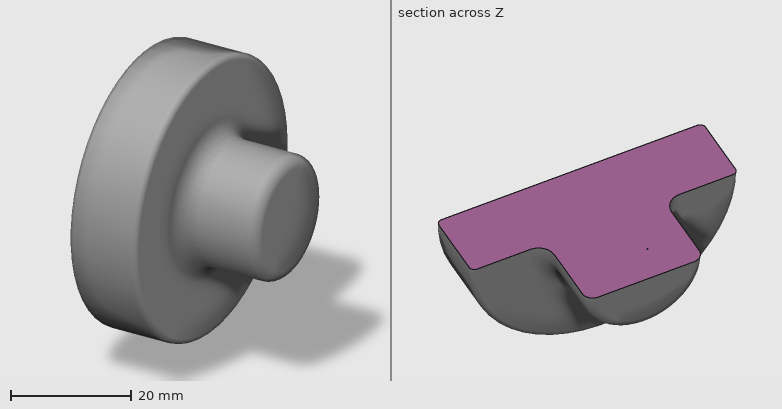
import cadquery as cq

head_diameter = 50.0
head_thickness = 13.0
stem_diameter = 22.0
overall_length = 28.0
head_rim_radius = 1.0
stem_root_radius = 3.0
stem_end_radius = 2.0

head_radius = head_diameter / 2
stem_radius = stem_diameter / 2

half_profile = (
    cq.Workplane("XY")
    .lineTo(0, head_radius - head_rim_radius)
    .tangentArcPoint((head_rim_radius, head_radius), relative=False)
    .lineTo(head_thickness - head_rim_radius, head_radius)
    .tangentArcPoint((head_thickness, head_radius - head_rim_radius), relative=False)
    .lineTo(head_thickness, stem_radius + stem_root_radius)
    .tangentArcPoint((head_thickness + stem_root_radius, stem_radius), relative=False)
    .lineTo(overall_length - stem_end_radius, stem_radius)
    .tangentArcPoint((overall_length, stem_radius - stem_end_radius), relative=False)
    .lineTo(overall_length, 0)
    .close()
)

result = half_profile.revolve(360, (0, 0, 0), (1, 0, 0))